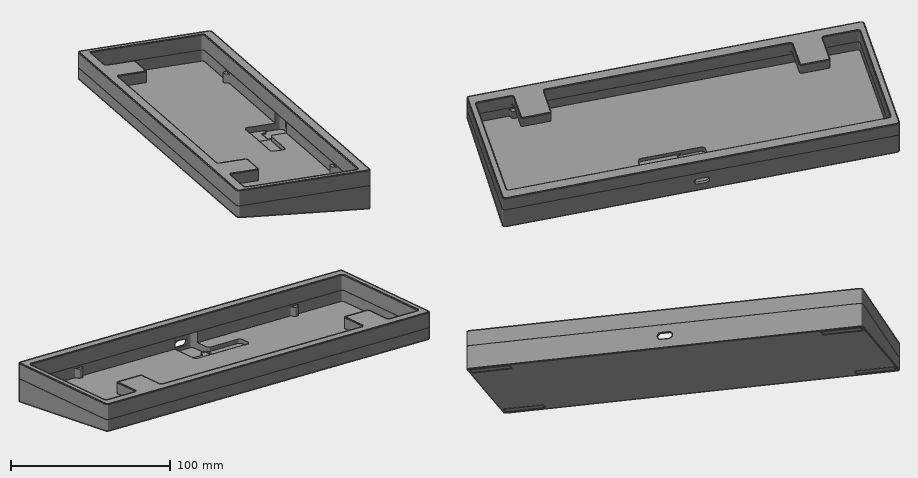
import cadquery as cq
import math


length = 257.5
width = 91.2
total_height = 26.5
frame_height = 10.5
corner_radius = 2.0
edge_chamfer = 0.5

underside_drop = 8.0
underside_slope = underside_drop / width
base_rear_height = total_height - frame_height + edge_chamfer * underside_slope
base_front_height = base_rear_height - underside_drop

side_wall = 4.5
end_wall = 7.0
cavity_radius = 1.42
floor_depth = 7.5
cavity_half_length = length / 2 - side_wall
front_wall_face = end_wall
rear_wall_face = width - end_wall

tab_offset = 90.5
tab_width = 19.8
tab_rear = 27.0
tab_thickness = 7.7

post_radius = 2.3
post_fillet = 1.0
post_drop = 1.3
post_center_inset = 0.5
rear_post_offset = 85.8
front_post_offset = 100.0

recess_center = -0.3
recess_width = 18.0
recess_left = recess_center - recess_width / 2
recess_right = recess_center + recess_width / 2
recess_front = 63.0
recess_rear = 89.5
recess_depth = 11.3
recess_radius = 2.3

pocket_front = 76.8
pocket_depth = 12.0
notch_front = 73.2
notch_width = 10.3
pocket_front_radius = 1.42

slot_end = 34.3
slot_rear = notch_front
slot_depth = 10.3

port_width = 9.8
port_height = 4.6
port_center_depth = 7.5

foot_length = 25.8
foot_width = 6.5
foot_depth = 0.5
foot_side_inset = 1.8
foot_end_inset = 1.8


def block(x_min, x_max, y_min, y_max, z_min, z_max):
    return cq.Workplane("XY").box(
        x_max - x_min, y_max - y_min, z_max - z_min, centered=False
    ).translate((x_min, y_min, z_min))


def cavity_block(z_min, z_max):
    return block(-cavity_half_length, cavity_half_length, front_wall_face, rear_wall_face, z_min, z_max)


def make_frame_opening():
    """Opening of the frame: a rounded cavity narrowed by the tabs in its upper part."""
    tab_bottom = frame_height - tab_thickness
    opening = cavity_block(0, frame_height)
    for side in (-1, 1):
        tab_left = side * tab_offset - tab_width / 2
        opening = opening.cut(block(tab_left, tab_left + tab_width, 0, tab_rear, 0, frame_height))
    opening = opening.edges("|Z").fillet(cavity_radius)
    below_tabs = cavity_block(0, tab_bottom).edges("|Z").fillet(cavity_radius)
    return opening.union(below_tabs)


def make_frame():
    outer = block(-length / 2, length / 2, 0, width, 0, frame_height)
    outer = outer.edges("|Z").fillet(corner_radius)
    return outer.cut(make_frame_opening()).faces(">Z").chamfer(edge_chamfer)


def make_base_blank():
    """Wedge with a sloping, chamfered underside."""
    wedge = (
        cq.Workplane("YZ", origin=(-length / 2, 0, 0))
        .polyline([(0, 0), (width, 0), (width, -base_rear_height), (0, -base_front_height)])
        .close()
        .extrude(length)
        .edges("|Z")
        .fillet(corner_radius)
    )
    return wedge.faces("<Z").chamfer(edge_chamfer)


def make_base_cavity():
    """Cavity of the base, leaving the posts standing on its walls."""
    front_post_y = front_wall_face + post_center_inset
    rear_post_y = rear_wall_face - post_center_inset
    post_places = []
    for side in (-1, 1):
        post_places.append((side * front_post_offset, front_post_y))
        post_places.append((side * rear_post_offset, rear_post_y))
    posts = (
        cq.Workplane("XY", origin=(0, 0, -floor_depth))
        .pushPoints(post_places)
        .circle(post_radius)
        .extrude(floor_depth - post_drop)
    )
    around_posts = cavity_block(-floor_depth, -post_drop).cut(posts)
    around_posts = around_posts.edges("|Z and (not (<X or >X))").fillet(post_fillet)
    around_posts = around_posts.edges("|Z and (<X or >X)").fillet(cavity_radius)
    above_posts = cavity_block(-post_drop, 0).edges("|Z").fillet(cavity_radius)
    return around_posts.union(above_posts)


def make_recess():
    recess = block(recess_left, recess_right, recess_front, recess_rear, -recess_depth, 0)
    slot = block(recess_center, slot_end, recess_front, slot_rear, -slot_depth, 0)
    slot = slot.edges("|Z and >X").fillet(recess_radius)
    mouth_corner = cq.selectors.NearestToPointSelector((recess_right, slot_rear, -slot_depth / 2))
    recess = recess.edges("|Z").fillet(recess_radius)
    return recess.union(slot).edges("|Z").edges(mouth_corner).fillet(recess_radius)


def make_pocket():
    notch_left = recess_center - notch_width / 2
    pocket = block(recess_left, recess_right, pocket_front, recess_rear, -pocket_depth, 0)
    notch = block(notch_left, notch_left + notch_width, notch_front, recess_rear, -pocket_depth, 0)
    pocket = pocket.union(notch)
    pocket = pocket.edges("|Z and (not >Y)").fillet(pocket_front_radius)
    return pocket.edges("|Z and >Y").fillet(recess_radius)


def make_port():
    return (
        cq.Workplane("XZ", origin=(recess_center, width, -port_center_depth))
        .slot2D(port_width, port_height)
        .extrude(width - rear_wall_face)
    )


def make_foot_recesses():
    """Shallow recesses in the corners of the underside, laid out level and tilted to its slope."""
    x_center = length / 2 - foot_side_inset - foot_length / 2
    y_center = width / 2 - foot_end_inset - foot_width / 2
    recesses = (
        cq.Workplane("XY")
        .rect(2 * x_center, 2 * y_center, forConstruction=True)
        .vertices()
        .rect(foot_length, foot_width)
        .extrude(foot_depth)
    )
    tilt = -math.degrees(math.atan(underside_slope))
    middle_height = (base_front_height + base_rear_height) / 2
    return recesses.rotate((0, 0, 0), (1, 0, 0), tilt).translate((0, width / 2, -middle_height))


def make_base():
    base = make_base_blank().cut(make_base_cavity())
    return base.cut(make_recess()).cut(make_pocket()).cut(make_port()).cut(make_foot_recesses())


frame = make_frame()
base = make_base()
result = cq.Compound.makeCompound([frame.val(), base.val()])